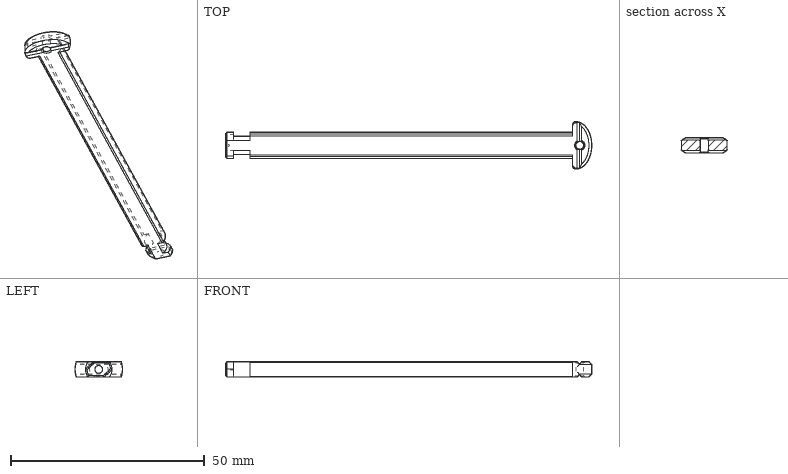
import cadquery as cq
import math

length = 94.4
thickness = 4.0
half_thickness = thickness / 2

bar_radius = 3.4
bar_flat_half_width = 2.5
bar_bevel_z = 1.8
neck_radius = 2.4
tip_end_x = 2.1
neck_end_x = 6.2
tip_chamfer = 0.4

relief_start_angle = math.radians(40)
relief_corner_y = 2.8
relief_corner_z = 0.7
relief_end_z = -0.14

hole_diameter = 2.0
tip_hole_angle = math.radians(90)

head_start_x = 89.4
head_radius = 6.1
rim_fillet = 0.85
dome_start_x = 90.2
dome_chamfer = 0.8

groove_x = 91.2
groove_width = 1.1
groove_depth = 0.7
cross_hole_x = 91.3
countersink_radius = 1.3


def circle_half_chord(radius, offset):
    """Half the chord of a circle at a distance from its centre."""
    return math.sqrt(radius**2 - offset**2)


def polar(radius, angle):
    """Point on a circle around the origin."""
    return (radius * math.cos(angle), radius * math.sin(angle))


def cross_section(x):
    """Workplane across the bar: local x is +Y and local y is +Z."""
    return cq.Workplane("YZ", origin=(x, 0, 0))


def slab(start_x, end_x):
    """Box of the part's full thickness, wider than every feature."""
    return cross_section(start_x).rect(4 * head_radius, thickness).extrude(end_x - start_x)


def make_bar():
    bevel_y = circle_half_chord(bar_radius, bar_bevel_z)
    profile = (
        cross_section(neck_end_x)
        .moveTo(-bar_flat_half_width, half_thickness)
        .lineTo(bar_flat_half_width, half_thickness)
        .lineTo(bevel_y, bar_bevel_z)
        .threePointArc((bar_radius, 0), (bevel_y, -bar_bevel_z))
        .lineTo(bar_flat_half_width, -half_thickness)
        .lineTo(-bar_flat_half_width, -half_thickness)
        .lineTo(-bevel_y, -bar_bevel_z)
        .threePointArc((-bar_radius, 0), (-bevel_y, bar_bevel_z))
        .close()
    )
    return profile.extrude(groove_x - neck_end_x)


def make_tip_and_neck():
    core = cross_section(0).circle(neck_radius).extrude(neck_end_x).intersect(slab(0, neck_end_x))

    neck_flat_half_width = circle_half_chord(neck_radius, half_thickness)
    flat_angle = math.asin(half_thickness / bar_radius)
    relief_end_angle = math.asin(relief_end_z / bar_radius)
    profile = cross_section(0).moveTo(*polar(bar_radius, math.pi - flat_angle))
    for turn, sign in ((0, 1), (math.pi, -1)):
        profile = (
            profile.lineTo(sign * neck_flat_half_width, sign * half_thickness)
            .lineTo(*polar(neck_radius, turn + relief_start_angle))
            .lineTo(sign * relief_corner_y, sign * relief_corner_z)
            .lineTo(*polar(bar_radius, turn + relief_end_angle))
            .threePointArc(
                polar(bar_radius, turn + (relief_end_angle - flat_angle) / 2),
                polar(bar_radius, turn - flat_angle),
            )
        )
    lugs = profile.close().extrude(tip_end_x)
    return core.union(lugs).faces("<X").chamfer(tip_chamfer)


def make_tip_hole():
    """Conical centre hole in the tip face."""
    radius = hole_diameter / 2
    depth = radius / math.tan(tip_hole_angle / 2)
    return (
        cq.Workplane("XY")
        .polyline([(0, 0), (0, radius), (depth, 0)])
        .close()
        .revolve(360, (0, 0, 0), (1, 0, 0))
    )


def make_head():
    plan = (
        cq.Workplane("XY", origin=(0, 0, -half_thickness))
        .moveTo(head_start_x, -head_radius)
        .lineTo(dome_start_x, -head_radius)
        .ellipseArc(length - dome_start_x, head_radius, -90, 90, startAtCurrent=True)
        .lineTo(head_start_x, head_radius)
        .close()
        .extrude(thickness)
    )
    rim = plan.intersect(slab(head_start_x, groove_x))
    dome = plan.faces("|Z").edges().chamfer(dome_chamfer).intersect(slab(groove_x, length))

    round_blank = cross_section(head_start_x).circle(head_radius).extrude(length - head_start_x)
    round_blank = round_blank.faces("<X").edges().fillet(rim_fillet)
    return rim.union(dome).intersect(round_blank)


def make_groove(side):
    """V groove along Y in the upper (side = 1) or lower (side = -1) flat."""
    surface_z = side * half_thickness
    return (
        cq.Workplane("XZ", origin=(groove_x, 0, surface_z))
        .polyline([(-groove_width / 2, 0), (groove_width / 2, 0), (0, -side * groove_depth)])
        .close()
        .extrude(2 * head_radius, both=True)
    )


def make_cross_hole():
    """Through hole along Z with a 45 degree countersink at both ends."""
    radius = hole_diameter / 2
    sink_z = half_thickness - (countersink_radius - radius)
    return (
        cq.Workplane("XZ", origin=(cross_hole_x, 0, 0))
        .polyline([
            (0, -half_thickness),
            (countersink_radius, -half_thickness),
            (radius, -sink_z),
            (radius, sink_z),
            (countersink_radius, half_thickness),
            (0, half_thickness),
        ])
        .close()
        .revolve(360, (0, 0, 0), (0, 1, 0))
    )


result = make_tip_and_neck().union(make_bar()).union(make_head())
result = result.cut(make_tip_hole()).cut(make_cross_hole())
for side in (1, -1):
    result = result.cut(make_groove(side))